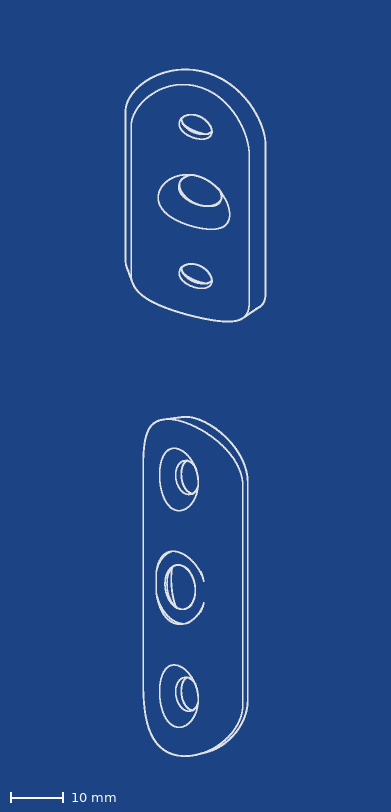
import math
import cadquery as cq

inner_radius = 21.2
thickness = 4.0
outer_radius = inner_radius + thickness
inner_arc_width = 25.0
half_angle = inner_arc_width / (2 * inner_radius)
length = 65.0
half_length = length / 2
straight_half_length = 21.0
end_rise = half_length - straight_half_length

center_hole_diameter = 8.5
end_hole_diameter = 6.5
end_hole_offset = 21.0
end_countersink_diameter = 12.0
center_chamfer_width = 3.0
seat_diameter = 14.0
seat_depth = 0.9

wedge_clearance = 5.0
wedge_inner_radius = inner_radius - wedge_clearance
wedge_outer_radius = outer_radius + wedge_clearance

end_curve_points = 40

selection_margin = 0.5


def end_curve(radius, side):
    """Half ellipse, wrapped on a cylinder, closing the end on the given Z side."""

    def point(turn):
        angle = half_angle * math.cos(turn)
        height = side * (straight_half_length + end_rise * math.sin(turn))
        return (radius * math.sin(angle), radius * math.cos(angle), height)

    curve = cq.Workplane("XY").parametricCurve(
        point, N=end_curve_points, start=0, stop=math.pi, makeWire=False
    )
    return curve.val()


def side_line(radius, side):
    """Straight vertical edge of the wrapped outline on the given X side."""
    x = side * radius * math.sin(half_angle)
    y = radius * math.cos(half_angle)
    return cq.Edge.makeLine(cq.Vector(x, y, -straight_half_length), cq.Vector(x, y, straight_half_length))


def radial_wedge():
    """Solid whose rim is ruled radially through the wrapped rounded outline."""
    inner_top = end_curve(wedge_inner_radius, 1)
    outer_top = end_curve(wedge_outer_radius, 1)
    inner_bottom = end_curve(wedge_inner_radius, -1)
    outer_bottom = end_curve(wedge_outer_radius, -1)
    faces = [
        cq.Face.makeRuledSurface(inner_top, outer_top),
        cq.Face.makeRuledSurface(inner_bottom, outer_bottom),
        cq.Face.makeRuledSurface(inner_top, inner_bottom),
        cq.Face.makeRuledSurface(outer_top, outer_bottom),
    ]
    for side in (-1, 1):
        inner_line = side_line(wedge_inner_radius, side)
        outer_line = side_line(wedge_outer_radius, side)
        faces.append(cq.Face.makeRuledSurface(inner_line, outer_line))
    return cq.Solid.makeSolid(cq.Shell.makeShell(faces))


def bent_plate():
    """Tube wall trimmed to the wrapped outline."""
    tube_length = length + 2 * wedge_clearance
    tube = cq.Workplane("XY").circle(outer_radius).circle(inner_radius).extrude(tube_length / 2, both=True)
    return tube.intersect(cq.Workplane(obj=radial_wedge()))


def bore(plate, diameter, z):
    """Drill a round hole along Y right through the plate."""
    drill = cq.Workplane("XZ", origin=(0, 0, z)).circle(diameter / 2).extrude(-2 * outer_radius)
    return plate.cut(drill)


def chamfer_center_rim(plate):
    """Chamfer the centre hole where it opens on the hollow face, at an even width along the rim."""
    reach = center_hole_diameter / 2 + selection_margin
    rim_box = cq.selectors.BoxSelector(
        (-reach, math.sqrt(inner_radius**2 - reach**2), -reach),
        (reach, inner_radius + selection_margin, reach),
        boundingbox=True,
    )
    return plate.edges(rim_box).chamfer(center_chamfer_width)


def countersink_end_hole(plate, z):
    """Sink a 90 degree cone, reaching its full diameter at the apex of the outer face."""
    mouth_radius = end_countersink_diameter / 2
    cone = cq.Solid.makeCone(
        mouth_radius, 0, mouth_radius, pnt=cq.Vector(0, outer_radius, z), dir=cq.Vector(0, -1, 0)
    )
    return plate.cut(cq.Workplane(obj=cone))


def spotface(plate):
    """Sink a flat round seat into the apex of the outer face."""
    seat_level = outer_radius - seat_depth
    cutter = cq.Workplane("XZ", origin=(0, seat_level, 0)).circle(seat_diameter / 2).extrude(-outer_radius)
    return plate.cut(cutter)


result = bent_plate()

result = bore(result, center_hole_diameter, 0)
result = chamfer_center_rim(result)
result = spotface(result)

for hole_z in (-end_hole_offset, end_hole_offset):
    result = bore(result, end_hole_diameter, hole_z)
    result = countersink_end_hole(result, hole_z)